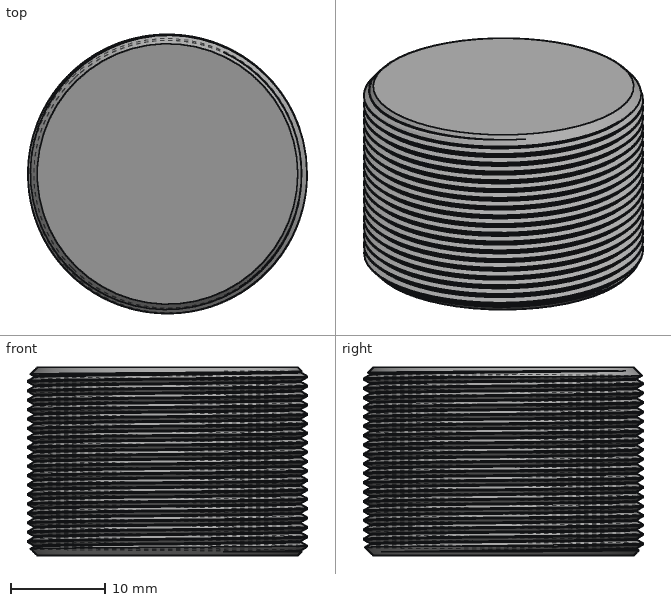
import cadquery as cq
import math

major_diameter = 29.65
length = 20.0
end_chamfer = 1.0
pitch = 1.0
crest_width = 0.15 * pitch
root_width = 0.15 * pitch
flank_angle = 60.0

major_radius = major_diameter / 2
flank_width = (pitch - crest_width - root_width) / 2
thread_depth = flank_width / math.tan(math.radians(flank_angle / 2))
root_radius = major_radius - thread_depth

crest_overshoot = 0.05
cutter_radius = major_radius + crest_overshoot
cutter_half_mouth = root_width / 2 + flank_width * (1 + crest_overshoot / thread_depth)

groove_start_z = -pitch / 2
turns_per_run = 3
run_height = turns_per_run * pitch
run_count = math.ceil((length + pitch) / run_height)


def make_blank():
    """Plain cylinder with both end rims chamfered."""
    cylinder = cq.Workplane("XY").circle(major_radius).extrude(length)
    return cylinder.faces("<Z or >Z").chamfer(end_chamfer)


def make_groove_run():
    """Right-hand helical V groove of a few turns, starting on the +X side at Z = 0."""
    helix = cq.Wire.makeHelix(pitch, run_height, root_radius)
    groove_section = (
        cq.Workplane("XZ")
        .moveTo(root_radius, -root_width / 2)
        .lineTo(cutter_radius, -cutter_half_mouth)
        .lineTo(cutter_radius, cutter_half_mouth)
        .lineTo(root_radius, root_width / 2)
        .close()
    )
    return groove_section.sweep(cq.Workplane(helix), isFrenet=True)


def cut_thread(body):
    """Cut the groove along the whole length, one run above the other."""
    groove_run = make_groove_run()
    for run in range(run_count):
        run_z = groove_start_z + run * run_height
        body = body.cut(groove_run.translate((0, 0, run_z)), clean=False)
    return body


result = cut_thread(make_blank())